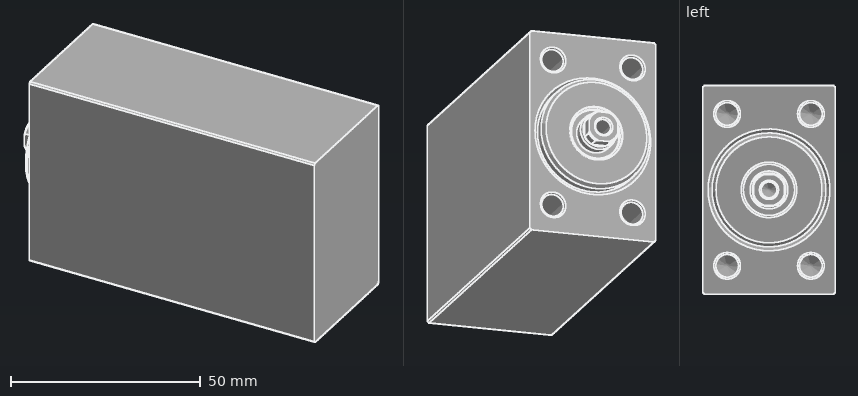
import cadquery as cq
import math


TOTAL_LENGTH = 95.0
ROD_REACH = 9.0
HOUSING_WIDTH = 35.0
HOUSING_HEIGHT = 55.0
HOUSING_CHAMFER = 0.5

GLAND_DIAMETER = 30.0
GLAND_REACH = 3.0
GLAND_SEAT_DEPTH = 19.0
GLAND_CHAMFER = 1.0
SEAT_CHAMFER = 1.0
RELIEF_DIAMETER = 14.6
RELIEF_DEPTH = 0.6
SEAL_DIAMETER = 13.5
SEAL_DEPTH = 1.5

ROD_DIAMETER = 10.0
ROD_CHAMFER = 0.6
NECK_DIAMETER = 9.0
NECK_LENGTH = 3.8
NECK_CHAMFER = 0.3
ACROSS_FLATS = 8.0

BOLT_SPACING_Y = 22.0
BOLT_SPACING_Z = 40.0
BOLT_HOLE_DIAMETER = 6.0
BOLT_MOUTH_DIAMETER = 7.0
BOLT_HOLE_DEPTH = 15.2
ROD_HOLE_DIAMETER = 4.2
ROD_MOUTH_DIAMETER = 5.0
ROD_HOLE_DEPTH = 9.5
DRILL_POINT_ANGLE = 118.0

HOUSING_LENGTH = TOTAL_LENGTH - ROD_REACH
GLAND_FACE_X = -GLAND_REACH
ROD_TIP_X = -ROD_REACH
NECK_END_X = ROD_TIP_X + NECK_LENGTH


def rod_along_x(diameter, start_x, end_x):
    """Solid cylinder on the X axis between two X positions."""
    return cq.Workplane("YZ", origin=(start_x, 0, 0)).circle(diameter / 2).extrude(end_x - start_x)


def drilled_hole(mouth_x, y, z, diameter, mouth_diameter, depth):
    """Blind drilled hole along +X with a 45 degree mouth chamfer and a conical bottom."""
    radius = diameter / 2
    mouth_radius = mouth_diameter / 2
    mouth_depth = mouth_radius - radius
    point_depth = radius / math.tan(math.radians(DRILL_POINT_ANGLE / 2))
    profile = (
        cq.Workplane("XY")
        .moveTo(0, 0)
        .lineTo(0, mouth_radius)
        .lineTo(mouth_depth, radius)
        .lineTo(depth, radius)
        .lineTo(depth + point_depth, 0)
        .close()
    )
    return profile.revolve(360, (0, 0, 0), (1, 0, 0)).translate((mouth_x, y, z))


def make_housing():
    """Block with chamfered long edges, a gland seat and four blind bolt holes."""
    block = cq.Workplane("XY").box(
        HOUSING_LENGTH, HOUSING_WIDTH, HOUSING_HEIGHT, centered=(False, True, True)
    )
    block = block.edges("|X").chamfer(HOUSING_CHAMFER)

    block = block.cut(rod_along_x(GLAND_DIAMETER, 0, GLAND_SEAT_DEPTH))
    seat_rim = block.faces("<X").edges("%CIRCLE")
    block = seat_rim.chamfer(SEAT_CHAMFER)

    for y in (-BOLT_SPACING_Y / 2, BOLT_SPACING_Y / 2):
        for z in (-BOLT_SPACING_Z / 2, BOLT_SPACING_Z / 2):
            block = block.cut(
                drilled_hole(0, y, z, BOLT_HOLE_DIAMETER, BOLT_MOUTH_DIAMETER, BOLT_HOLE_DEPTH)
            )
    return block


def make_gland():
    """Round gland with a chamfered front rim and a stepped recess around the rod bore."""
    gland = rod_along_x(GLAND_DIAMETER, GLAND_FACE_X, GLAND_SEAT_DEPTH)
    gland = gland.faces("<X").chamfer(GLAND_CHAMFER)
    relief = rod_along_x(RELIEF_DIAMETER, GLAND_FACE_X, GLAND_FACE_X + RELIEF_DEPTH)
    seal_step = rod_along_x(SEAL_DIAMETER, GLAND_FACE_X, GLAND_FACE_X + SEAL_DEPTH)
    bore = rod_along_x(ROD_DIAMETER, GLAND_FACE_X, GLAND_SEAT_DEPTH)
    return gland.cut(relief).cut(seal_step).cut(bore)


def make_rod():
    """Piston rod with a chamfered shoulder, a neck with four wrench flats and a drilled tip."""
    shaft = rod_along_x(ROD_DIAMETER, NECK_END_X, GLAND_SEAT_DEPTH)
    shaft = shaft.faces("<X").chamfer(ROD_CHAMFER)

    neck = rod_along_x(NECK_DIAMETER, ROD_TIP_X, NECK_END_X)
    neck = neck.faces("<X").chamfer(NECK_CHAMFER)
    flats = cq.Workplane("YZ", origin=(ROD_TIP_X, 0, 0)).rect(ACROSS_FLATS, ACROSS_FLATS)
    neck = neck.intersect(flats.extrude(NECK_LENGTH))

    tip_hole = drilled_hole(ROD_TIP_X, 0, 0, ROD_HOLE_DIAMETER, ROD_MOUTH_DIAMETER, ROD_HOLE_DEPTH)
    return shaft.union(neck).cut(tip_hole)


housing = make_housing()
gland = make_gland()
rod = make_rod()

result = cq.Compound.makeCompound([housing.val(), gland.val(), rod.val()])